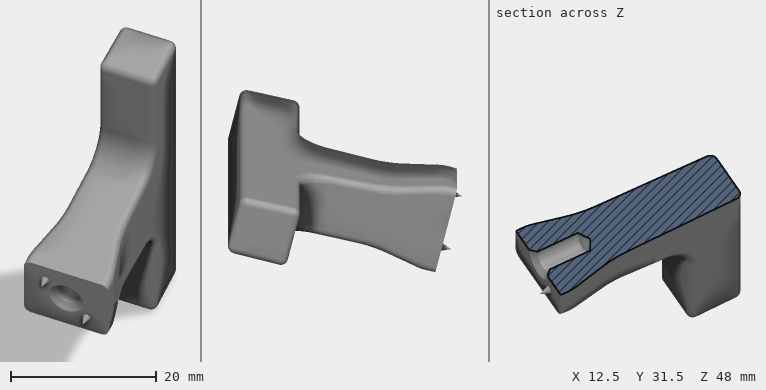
import cadquery as cq
import math

bar_length = 48.0
body_depth = 30.0
bar_thickness = 8.45
edge_radius = 1.0

neck_face_height = 10.25
neck_draft = math.radians(5)
neck_root_radius = 4.45
bar_front = body_depth - bar_thickness
face_half = neck_face_height / 2
root_half = face_half + bar_front * math.tan(neck_draft)

margin = 0.5

foot_width = 12.5
foot_length = 1.85
foot_radius = 5.75
waist_width = 8.9
waist_y = 9.35
waist_radius = 19.7
back_width = 8.25

hole_diameter = 3.35
hole_depth = 7.2
drill_tip_depth = 0.95
countersink_diameter = 5.0
countersink_depth = (countersink_diameter - hole_diameter) / 2

spike_diameter = 1.2
spike_length = 1.5
spike_x = 3.05
spike_z = 2.55
spike_embed = 0.05


def side_profile():
    """T-shaped outline in the YZ plane, extruded across the full width."""
    half_length = bar_length / 2
    upper = [(0, face_half), (bar_front, root_half), (bar_front, half_length), (body_depth, half_length)]
    lower = [(y, -z) for y, z in reversed(upper)]
    solid = cq.Workplane("YZ").polyline(upper + lower).close().extrude(foot_width / 2, both=True)
    roots = cq.selectors.BoxSelector(
        (-foot_width, bar_front - margin, -root_half - margin),
        (foot_width, bar_front + margin, root_half + margin),
    )
    return solid.edges("|X").edges(roots).fillet(neck_root_radius)


def width_profile():
    """Flared outline in the XY plane, extruded over the full bar length."""
    right = [
        (foot_width / 2, 0),
        (foot_width / 2, foot_length),
        (waist_width / 2, waist_y),
        (back_width / 2, body_depth),
    ]
    left = [(-x, y) for x, y in reversed(right)]
    solid = cq.Workplane("XY").polyline(right + left).close().extrude(bar_length / 2, both=True)
    for y, radius in ((foot_length, foot_radius), (waist_y, waist_radius)):
        bends = cq.selectors.BoxSelector(
            (-foot_width, y - margin, -bar_length),
            (foot_width, y + margin, bar_length),
        )
        solid = solid.edges("|Z").edges(bends).fillet(radius)
    return solid


def countersunk_hole():
    """Blind hole along Y with a 45-degree countersink and a conical bottom."""
    profile = [
        (0, 0),
        (countersink_diameter / 2, 0),
        (hole_diameter / 2, countersink_depth),
        (hole_diameter / 2, hole_depth),
        (0, hole_depth + drill_tip_depth),
    ]
    return cq.Workplane("XY").polyline(profile).close().revolve(360, (0, 0), (0, 1))


def spike(x, z):
    """Pointed cone standing on the mounting face, with a short root inside the body."""
    radius = spike_diameter / 2
    profile = [(0, spike_embed), (radius, spike_embed), (radius, 0), (0, -spike_length)]
    cone = cq.Workplane("XY").polyline(profile).close().revolve(360, (0, 0), (0, 1))
    return cone.translate((x, 0, z))


def round_edges(solid):
    """Round every sharp edge except the rim of the mounting face."""
    neck_region = cq.selectors.BoxSelector(
        (-foot_width, -margin, -root_half - neck_root_radius),
        (foot_width, bar_front + margin, root_half + neck_root_radius),
    )
    seams = cq.selectors.StringSyntaxSelector("|X or |Z") & neck_region
    face_rim = cq.selectors.StringSyntaxSelector("<Y")
    every_edge = cq.selectors.BoxSelector(
        (-foot_width, -margin, -bar_length),
        (foot_width, body_depth + margin, bar_length),
    )
    return solid.edges(every_edge - seams - face_rim).fillet(edge_radius)


body = round_edges(side_profile().intersect(width_profile()))
result = body.cut(countersunk_hole())
for side in (-1, 1):
    result = result.union(spike(side * spike_x, -side * spike_z))